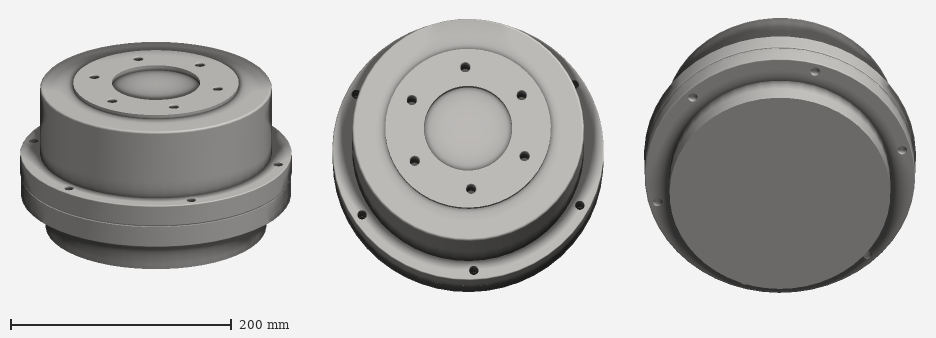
import cadquery as cq

base_height = 31.0
flange_thickness = 20.0
gap_height = 1.0
overall_height = 141.0
boss_height = 4.0

lower_flange_top = base_height + flange_thickness
upper_flange_bottom = lower_flange_top + gap_height
upper_flange_top = upper_flange_bottom + flange_thickness
body_top = overall_height - boss_height

base_diameter = 200.0
lower_flange_diameter = 245.0
upper_flange_diameter = 246.0
neck_diameter = 100.0
body_diameter = 210.0
boss_diameter = 150.0
recess_diameter = 80.0
recess_depth = 5.0

flange_fillet = 1.0
body_fillet = 2.0

hole_count = 6
first_hole_angle = 90.0
flange_hole_diameter = 8.5
flange_hole_circle_radius = 114.0
top_hole_diameter = 8.8
top_hole_mouth_diameter = 10.0
top_hole_circle_radius = 57.5
top_hole_depth = 20.0


def disc(diameter, bottom, top):
    """Solid disc on the Z axis between two heights."""
    return cq.Workplane("XY").workplane(offset=bottom).circle(diameter / 2).extrude(top - bottom)


def bolt_circle(plane, radius):
    """Evenly spaced hole centres around the Z axis."""
    return plane.polarArray(radius, first_hole_angle, 360, hole_count)


def make_lower_half():
    """Base with its flange and the narrow neck that fills the gap."""
    flange = disc(lower_flange_diameter, base_height, lower_flange_top)
    flange = flange.faces("<Z").edges().fillet(flange_fillet)
    base = disc(base_diameter, 0, base_height)
    neck = disc(neck_diameter, lower_flange_top, upper_flange_bottom)
    return base.union(flange).union(neck)


def make_upper_half():
    """Flange, drum body and raised boss."""
    flange = disc(upper_flange_diameter, upper_flange_bottom, upper_flange_top)
    flange = flange.faces(">Z").edges().fillet(flange_fillet)
    flange = flange.faces("<Z").edges().fillet(flange_fillet)
    body = disc(body_diameter, upper_flange_top, body_top)
    body = body.faces(">Z").edges().fillet(body_fillet)
    boss = disc(boss_diameter, body_top, overall_height)
    return flange.union(body).union(boss)


def cut_recess(part):
    """Shallow round recess in the centre of the boss."""
    return part.cut(disc(recess_diameter, overall_height - recess_depth, overall_height))


def cut_flange_holes(part):
    """Bolt holes running through both flanges."""
    plane = cq.Workplane("XY").workplane(offset=base_height)
    holes = bolt_circle(plane, flange_hole_circle_radius).circle(flange_hole_diameter / 2)
    return part.cut(holes.extrude(upper_flange_top - base_height))


def cut_top_holes(part):
    """Blind holes in the boss, each with a 45 degree countersunk mouth."""
    mouth_depth = (top_hole_mouth_diameter - top_hole_diameter) / 2
    plane = cq.Workplane("XY").workplane(offset=overall_height)
    centres = bolt_circle(plane, top_hole_circle_radius)
    bores = centres.circle(top_hole_diameter / 2).extrude(-top_hole_depth)
    mouths = centres.circle(top_hole_mouth_diameter / 2).extrude(-mouth_depth, taper=45)
    return part.cut(bores).cut(mouths)


result = make_lower_half().union(make_upper_half())
result = cut_recess(result)
result = cut_flange_holes(result)
result = cut_top_holes(result)